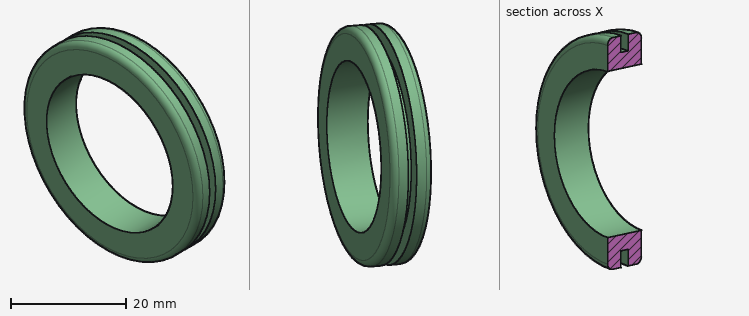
import cadquery as cq

outer_diameter = 42.0
bore_diameter = 30.0
width = 7.5
groove_diameter = 36.0
groove_width = 1.5
rim_fillet = 1.2


def disc(diameter, length):
    """Solid disc on the Y axis, centred on the origin."""
    start = cq.Workplane("XZ", origin=(0, length / 2, 0))
    return start.circle(diameter / 2).extrude(length)


body = disc(outer_diameter, width).faces("<Y or >Y").edges().fillet(rim_fillet)

groove = disc(outer_diameter, groove_width).cut(disc(groove_diameter, groove_width))

bore = disc(bore_diameter, width)

result = body.cut(groove).cut(bore)